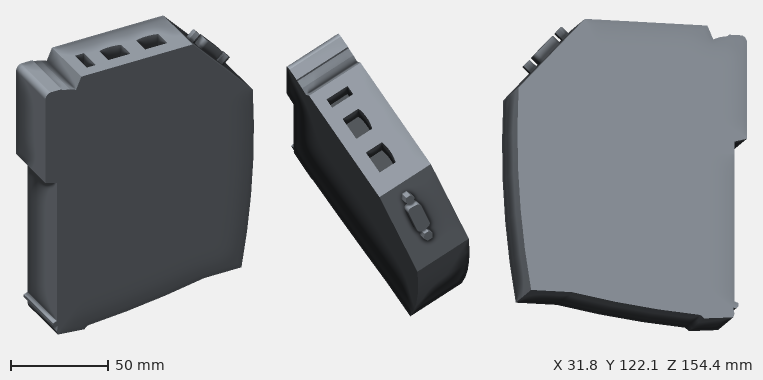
import cadquery as cq
import math

width = 31.8
height = 154.4

slope_top = (86.2, height)
slope_bottom = (121.4, 116.3)
back_middle = (119.7, 45.2)
back_bottom = (114.7, 10.0)

step_front = (93.0, 10.0)
belly_middle = (70.9, 6.3)
belly_front = (24.7, 1.7)

wall_y = 6.6
head_bottom_z = 95.9
head_lip_z = 94.0
head_top_z = 150.3
head_round_depth = 2.8
head_round_drop = 3.5
head_radius = (head_round_depth**2 + head_round_drop**2) / (2 * head_round_depth)

socket_left = -1.4
socket_right = 8.5
socket_bulge = 1.0
socket_length = 12.8
socket_pitch = 21.6
socket_count = 2
first_socket_y = 68.9
slot_center = (3.1, 30.3)
slot_size = (13.0, 5.3)
opening_depth = 15.5

connector_x = 3.2
connector_from_slope_top = 20.7
connector_height = 5.3
shell_width = 7.7
shell_long_side = 16.4
shell_short_side = 15.1
shell_round = 2.3
post_across_corners = 5.4
post_offset = 12.5
embed = 0.8


def make_housing():
    outline = (
        cq.Workplane("YZ", origin=(-width / 2, 0, 0))
        .moveTo(*slope_top)
        .lineTo(*slope_bottom)
        .threePointArc(back_middle, back_bottom)
        .lineTo(*step_front)
        .threePointArc(belly_middle, belly_front)
        .lineTo(22.7, 0)
        .lineTo(7.3, 1.4)
        .lineTo(6.6, 3.4)
        .lineTo(7.3, 6.5)
        .lineTo(5.4, 6.5)
        .lineTo(4.5, 7.4)
        .lineTo(4.5, 9.1)
        .lineTo(wall_y, 9.9)
        .lineTo(wall_y, head_lip_z)
        .lineTo(0, head_bottom_z)
        .lineTo(0, head_top_z - head_round_drop)
        .radiusArc((head_round_depth, head_top_z), head_radius)
        .lineTo(9.4, head_top_z)
        .lineTo(10.0, 149.5)
        .lineTo(14.4, 148.7)
        .lineTo(17.9, 147.3)
        .lineTo(21.0, height)
        .close()
    )
    return outline.extrude(width)


def make_socket(center_y):
    front_y = center_y - socket_length / 2
    back_y = center_y + socket_length / 2
    return (
        cq.Workplane("XY", origin=(0, 0, height))
        .moveTo(socket_left, front_y)
        .lineTo(socket_right, front_y)
        .lineTo(socket_right, back_y)
        .lineTo(socket_left, back_y)
        .threePointArc((socket_left - socket_bulge, center_y), (socket_left, front_y))
        .close()
        .extrude(-opening_depth)
    )


def make_slot():
    return (
        cq.Workplane("XY", origin=(0, 0, height))
        .center(*slot_center)
        .rect(*slot_size)
        .extrude(-opening_depth)
    )


def make_connector():
    run = slope_bottom[0] - slope_top[0]
    drop = slope_top[1] - slope_bottom[1]
    slope_length = math.hypot(run, drop)
    along = connector_from_slope_top / slope_length
    center = (connector_x, slope_top[0] + along * run, slope_top[1] - along * drop)
    face = cq.Plane(origin=center, xDir=(1, 0, 0), normal=(0, drop, run))
    base = cq.Workplane(face).workplane(offset=-embed)
    shell = (
        base.polyline(
            [
                (-shell_width / 2, -shell_short_side / 2),
                (shell_width / 2, -shell_long_side / 2),
                (shell_width / 2, shell_long_side / 2),
                (-shell_width / 2, shell_short_side / 2),
            ]
        )
        .close()
        .extrude(connector_height + embed)
        .edges(cq.selectors.ParallelDirSelector(face.zDir))
        .fillet(shell_round)
    )
    posts = (
        base.pushPoints([(0, -post_offset), (0, post_offset)])
        .polygon(6, post_across_corners)
        .extrude(connector_height + embed)
    )
    return shell.union(posts)


result = make_housing().union(make_connector())
for index in range(socket_count):
    result = result.cut(make_socket(first_socket_y - index * socket_pitch))
result = result.cut(make_slot())